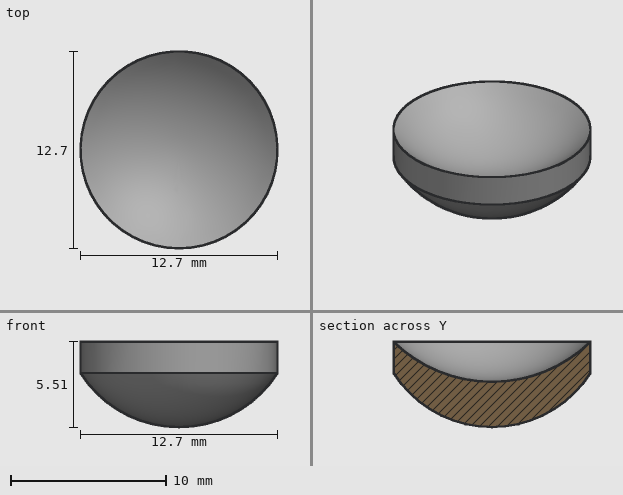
import cadquery as cq
import math

diameter = 12.7
total_height = 5.51
edge_height = 2.02
concave_depth = 2.58

radius = diameter / 2
convex_depth = total_height - edge_height

rim_bottom = convex_depth
rim_top = total_height
concave_bottom = rim_top - concave_depth


def arc_midpoint(cap_depth, cap_bottom):
    """Point halfway along the arc from the lens axis to the rim."""
    sphere_radius = (radius**2 + cap_depth**2) / (2 * cap_depth)
    half_angle = math.asin(radius / sphere_radius) / 2
    y = -sphere_radius * math.sin(half_angle)
    z = cap_bottom + sphere_radius * (1 - math.cos(half_angle))
    return y, z


half_section = (
    cq.Workplane("YZ")
    .moveTo(0, 0)
    .threePointArc(arc_midpoint(convex_depth, 0), (-radius, rim_bottom))
    .lineTo(-radius, rim_top)
    .threePointArc(arc_midpoint(concave_depth, concave_bottom), (0, concave_bottom))
    .close()
)

result = half_section.revolve(360, (0, 0, 0), (0, 1, 0))